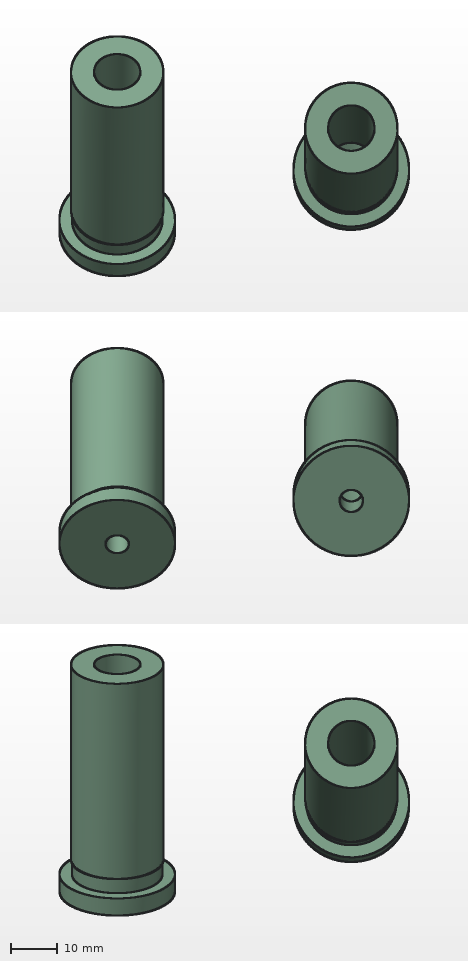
import cadquery as cq
import math

total_height = 54.0
head_diameter = 25.0
head_height = 4.1
body_diameter = 20.0

neck_diameter = 19.6
neck_height = 3.4
neck_top = head_height + neck_height

bore_diameter = 10.0
hole_diameter = 5.0
cone_angle = 118.0
cone_bottom = neck_top
cone_height = (bore_diameter - hole_diameter) / 2 / math.tan(math.radians(cone_angle / 2))
cone_top = cone_bottom + cone_height


def half_section():
    """Radius and height points of the wall, outside upward then bore downward."""
    return [
        (hole_diameter / 2, 0),
        (head_diameter / 2, 0),
        (head_diameter / 2, head_height),
        (neck_diameter / 2, head_height),
        (neck_diameter / 2, neck_top),
        (body_diameter / 2, neck_top),
        (body_diameter / 2, total_height),
        (bore_diameter / 2, total_height),
        (bore_diameter / 2, cone_top),
        (hole_diameter / 2, cone_bottom),
    ]


result = cq.Workplane("XZ").polyline(half_section()).close().revolve(360, (0, 0), (0, 1))